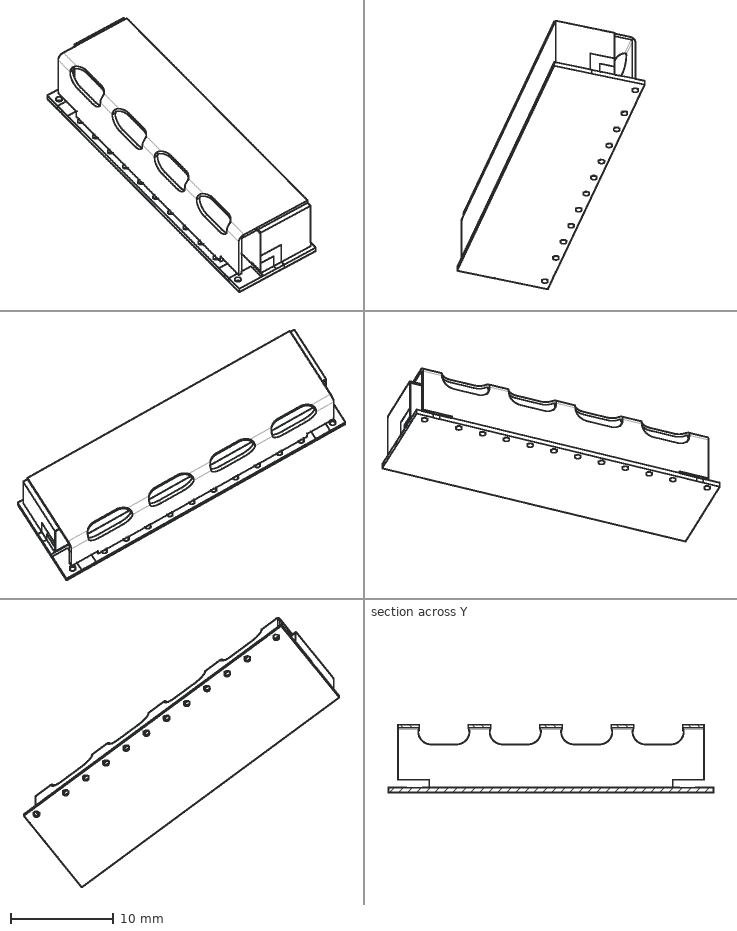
import cadquery as cq

board_length = 31.9
board_width = 9.3
board_thickness = 0.51
board_front = -board_width / 2
board_back = board_width / 2
board_end = board_length / 2

block_length = 31.0
block_width = 6.05
block_height = 5.85
block_back_inset = 0.3
block_back = board_back - block_back_inset
block_front = block_back - block_width
block_end = block_length / 2
block_top = board_thickness + block_height

lid_length = 30.0
sheet = 0.35
bend_inner_radius = 0.15
bend_outer_radius = 0.64
lid_width = 8.36
lid_back = block_back
lid_front = lid_back - lid_width
lid_end = lid_length / 2
lid_top = block_top + sheet
bend_start_z = lid_top - bend_outer_radius
notch_length = 3.05
notch_height = 0.75

window_count = 4
window_pitch = 7.0
window_length = 5.0
window_radius = 1.25
window_straight = window_length - 2 * window_radius
window_drop = 1.97
window_bottom = lid_top - window_drop
window_reach = 1.06

hole_diameter = 0.6
hole_y = lid_front
hole_count = 10
hole_pitch = 2.5
corner_hole_x = 14.85

plating = 0.01
bare_back = board_back - 3.85
input_back = board_back - 4.8
corner_pad_length = 1.75
corner_pad_back = board_back - 6.6
front_strip_start = 3.4
front_strip_back = board_back - 7.95
bare_edge_end = 2.45
bare_end_height = 2.5
input_height = 1.43
front_side_margin = 0.1
upper_tab_height = 0.2
front_tab_length = 1.57
lower_tab_height = 0.17


def box(x_range, y_range, z_range):
    """Box spanning the given ranges."""
    size = [high - low for low, high in (x_range, y_range, z_range)]
    corner = (x_range[0], y_range[0], z_range[0])
    return cq.Workplane("XY").box(*size, centered=False).translate(corner)


def both_ends(feature):
    """A feature of the -X end together with its mirror image at the +X end."""
    return feature.union(feature.mirror("YZ"))


def spaced(count, pitch):
    """Positions spread evenly about zero."""
    return [(i - (count - 1) / 2) * pitch for i in range(count)]


def board_holes():
    row = spaced(hole_count, hole_pitch) + [-corner_hole_x, corner_hole_x]
    points = [(x, hole_y) for x in row]
    return cq.Workplane("XY").pushPoints(points).circle(hole_diameter / 2).extrude(board_thickness)


def bare_board_top():
    """Bare area in front of the block and beside it, leaving plated strips and pads."""
    depth = (board_thickness - plating, board_thickness)
    bare = box((-board_end, board_end), (board_front, bare_back), depth)
    corner_pad = box((-board_end, -board_end + corner_pad_length), (board_front, corner_pad_back), depth)
    input_pad = box((-board_end, -block_end), (block_front, input_back), depth)
    strip_end = board_end - front_strip_start
    front_strip = box((-strip_end, strip_end), (board_front, front_strip_back), depth)
    under_block = box((-block_end, block_end), (block_front, block_back), depth)
    return bare.cut(both_ends(corner_pad)).cut(both_ends(input_pad)).cut(front_strip).cut(under_block)


def bare_board_edges():
    end_face = box((-board_end, -board_end + plating), (board_front, bare_back), (0, board_thickness))
    front_face = box(
        (-board_end + corner_pad_length, -board_end + bare_edge_end),
        (board_front, board_front + plating),
        (0, board_thickness),
    )
    return end_face.union(front_face)


def bare_block_end():
    """Bare L-shaped band around the input electrode on the block's end face."""
    depth = (-block_end, -block_end + plating)
    bare = box(depth, (block_front, bare_back), (board_thickness, board_thickness + bare_end_height))
    electrode = box(depth, (block_front, input_back), (board_thickness, board_thickness + input_height))
    return bare.cut(electrode)


def bare_block_front():
    """Bare front face between two thin metal C-shaped frames, one at each end of the block."""
    depth = (block_front, block_front + plating)
    half_length = block_end - front_side_margin
    bare = box((-half_length, half_length), depth, (board_thickness, block_top))
    tab_reach = (-block_end, -block_end + front_tab_length)
    upper_tab = box(tab_reach, depth, (block_top - upper_tab_height, block_top))
    lower_tab = box(tab_reach, depth, (board_thickness, board_thickness + lower_tab_height))
    return bare.cut(both_ends(upper_tab)).cut(both_ends(lower_tab))


def build_filter():
    """Board and ceramic block."""
    board = box((-board_end, board_end), (board_front, board_back), (0, board_thickness))
    block = box((-block_end, block_end), (block_front, block_back), (board_thickness, block_top))
    body = board.union(block).cut(board_holes())
    body = body.cut(bare_board_top()).cut(both_ends(bare_board_edges()))
    return body.cut(both_ends(bare_block_end())).cut(bare_block_front())


def window_cutter(x):
    """Window with round ends: lower part cut through the flange, upper part through the bend and top."""
    flange_depth = (lid_front, lid_front + bend_outer_radius)
    arc_z = window_bottom + window_radius
    lower = box((x - window_straight / 2, x + window_straight / 2), flange_depth, (window_bottom, bend_start_z))
    upper = box(
        (x - window_straight / 2, x + window_straight / 2),
        (lid_front, lid_front + window_reach),
        (bend_start_z, lid_top),
    )
    for side in (-1, 1):
        end_x = x + side * window_straight / 2
        round_end = (
            cq.Workplane("XZ", origin=(end_x, flange_depth[1], arc_z))
            .circle(window_radius)
            .extrude(bend_outer_radius)
        )
        lower = lower.union(round_end)
        top_end = (
            cq.Workplane("XY", origin=(end_x, lid_front, bend_start_z))
            .ellipse(window_radius, window_reach)
            .extrude(bend_outer_radius)
        )
        upper = upper.union(top_end)
    below_bend = box((-lid_end, lid_end), flange_depth, (board_thickness, bend_start_z))
    return lower.intersect(below_bend).union(upper)


def build_lid():
    """Sheet bent along X, with windows over the bend and a notch in each lower corner of the flange."""
    lid = (
        cq.Workplane("YZ", origin=(-lid_end, 0, 0))
        .moveTo(lid_back, block_top)
        .lineTo(lid_back, lid_top)
        .lineTo(lid_front + bend_outer_radius, lid_top)
        .radiusArc((lid_front, bend_start_z), -bend_outer_radius)
        .lineTo(lid_front, board_thickness)
        .lineTo(lid_front + sheet, board_thickness)
        .lineTo(lid_front + sheet, block_top - bend_inner_radius)
        .radiusArc((lid_front + sheet + bend_inner_radius, block_top), bend_inner_radius)
        .close()
        .extrude(lid_length)
    )
    notch = box(
        (-lid_end, -lid_end + notch_length),
        (lid_front, lid_front + sheet),
        (board_thickness, board_thickness + notch_height),
    )
    lid = lid.cut(both_ends(notch))
    for x in spaced(window_count, window_pitch):
        lid = lid.cut(window_cutter(x))
    return lid


filter_body = build_filter()
lid_body = build_lid()

result = cq.Compound.makeCompound([filter_body.val(), lid_body.val()])